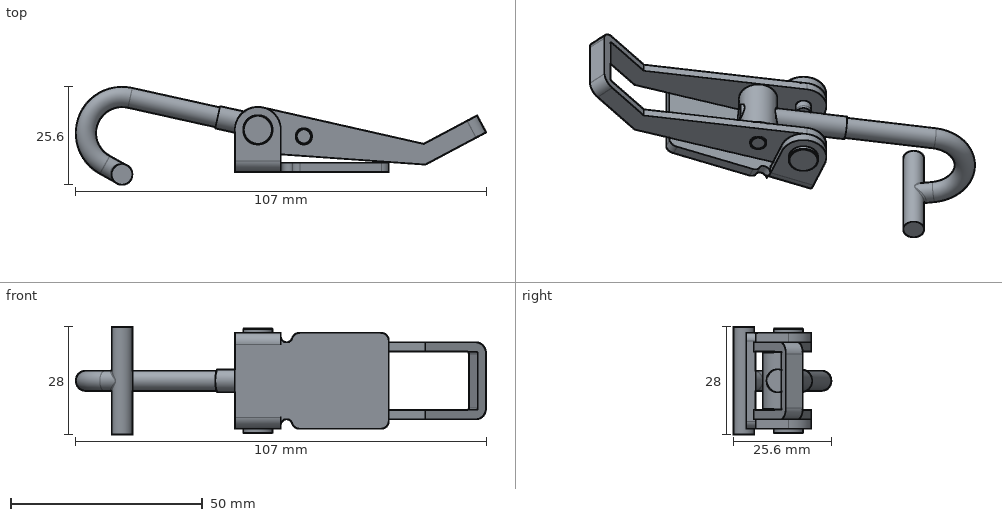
import cadquery as cq
import math


SHEET = 2.5
BEND_OUTER = 3.0
BEND_INNER = BEND_OUTER - SHEET

EAR_RADIUS = 6.0
BRACKET_HALF_WIDTH = 12.5
BASE_OUTER_Y = -11.0
BASE_INNER_Y = BASE_OUTER_Y + SHEET
BASE_END_X = 34.2
BASE_CORNER_RADIUS = 2.0
RELIEF_RADIUS = 1.5

LEVER_HALF_WIDTH = BRACKET_HALF_WIDTH - SHEET
LEVER_INNER = LEVER_HALF_WIDTH - SHEET
ELBOW_TOP = (43.3, -3.6)
ELBOW_BOTTOM = (43.7, -9.1)
HANDLE_ANGLE = 28.0
HANDLE_TIP_X = 59.5

RIVET_HEAD_RADIUS = 3.9
RIVET_HEAD_HEIGHT = 1.2
RIVET_HEAD_CHAMFER = 0.2
RIVET_SHANK_RADIUS = 2.0
RIVET_TAIL_Z = 4.9
RIVET_TAIL_CHAMFER_LENGTH = 0.7
RIVET_TAIL_CHAMFER_DEPTH = 0.2

BARREL_X = 12.0
BARREL_Y = -1.7
BARREL_RADIUS = 5.0
BARREL_END_PLAY = 0.2
JOURNAL_RADIUS = 2.1
JOURNAL_CHAMFER = 0.3
COUNTERSINK_RADIUS = 3.7

HOOK_ANGLE = 12.5
THREAD_RADIUS = 3.0
THREAD_END = 23.0
ROD_RADIUS = 2.7
ROD_END = 46.5
HOOK_BEND_RADIUS = 9.4
HOOK_TAIL_ANGLE = 29.0
T_BAR_LENGTH = 28.0
T_BAR_RADIUS = 5.5 / 2
WELD_FILLET = 0.4


def cylinder_z(radius, z_low, z_high, x=0.0, y=0.0):
    """Cylinder along Z between two heights."""
    return cq.Workplane("XY", origin=(x, y, z_low)).circle(radius).extrude(z_high - z_low)


def direction(angle):
    """Unit vector in the XY plane at an angle in degrees from +X."""
    return cq.Vector(math.cos(math.radians(angle)), math.sin(math.radians(angle)), 0)


def tangent_point(point, side):
    """Point where a line from `point` touches the pivot circle; side is +1 above, -1 below."""
    x, y = point
    angle = math.atan2(y, x) + side * math.acos(EAR_RADIUS / math.hypot(x, y))
    return EAR_RADIUS * math.cos(angle), EAR_RADIUS * math.sin(angle)


def make_ear_channel():
    """The two ears and the bent part of the base between them."""
    channel = (
        cq.Workplane("XY")
        .rect(2 * EAR_RADIUS, 2 * BRACKET_HALF_WIDTH)
        .extrude(EAR_RADIUS - BASE_OUTER_Y)
        .faces("<Z").edges("|X").fillet(BEND_OUTER)
    )
    cavity = (
        cq.Workplane("XY", origin=(0, 0, SHEET))
        .rect(2 * EAR_RADIUS, 2 * LEVER_HALF_WIDTH)
        .extrude(EAR_RADIUS - BASE_INNER_Y)
        .faces("<Z").edges("|X").fillet(BEND_INNER)
    )
    channel = channel.cut(cavity).rotate((0, 0, 0), (1, 0, 0), -90).translate((0, BASE_OUTER_Y, 0))
    ear_outline = (
        cq.Workplane("XY", origin=(0, 0, -BRACKET_HALF_WIDTH))
        .moveTo(-EAR_RADIUS, BASE_OUTER_Y)
        .lineTo(EAR_RADIUS, BASE_OUTER_Y)
        .lineTo(EAR_RADIUS, 0)
        .threePointArc((0, EAR_RADIUS), (-EAR_RADIUS, 0))
        .close()
        .extrude(2 * BRACKET_HALF_WIDTH)
    )
    return channel.intersect(ear_outline)


def make_base_tongue():
    """Flat base beyond the ears, with a bend relief on each side."""
    relief_x = EAR_RADIUS + RELIEF_RADIUS
    relief_z = LEVER_HALF_WIDTH + RELIEF_RADIUS
    corner_z = BRACKET_HALF_WIDTH - BASE_CORNER_RADIUS
    centre_distance = RELIEF_RADIUS + BASE_CORNER_RADIUS
    corner_x = relief_x + math.sqrt(centre_distance**2 - (relief_z - corner_z) ** 2)
    share = RELIEF_RADIUS / centre_distance
    touch_x = relief_x + share * (corner_x - relief_x)
    touch_z = relief_z + share * (corner_z - relief_z)
    touch_angle = math.atan2(touch_z - corner_z, touch_x - corner_x)
    corner_mid = (touch_angle + math.pi / 2) / 2
    corner_mid_x = corner_x + BASE_CORNER_RADIUS * math.cos(corner_mid)
    corner_mid_z = corner_z + BASE_CORNER_RADIUS * math.sin(corner_mid)

    half = (
        cq.Workplane("XZ", origin=(0, BASE_INNER_Y, 0))
        .moveTo(0, 0)
        .lineTo(0, LEVER_INNER)
        .lineTo(EAR_RADIUS, LEVER_INNER)
        .lineTo(EAR_RADIUS, relief_z)
        .threePointArc((relief_x, LEVER_HALF_WIDTH), (touch_x, touch_z))
        .threePointArc((corner_mid_x, corner_mid_z), (corner_x, BRACKET_HALF_WIDTH))
        .lineTo(BASE_END_X, BRACKET_HALF_WIDTH)
        .lineTo(BASE_END_X, 0)
        .close()
        .extrude(SHEET)
        .edges("|Y and >X and >Z").fillet(BASE_CORNER_RADIUS)
    )
    return half.union(half.mirror("XY"))


def make_bracket():
    rivet_holes = cylinder_z(RIVET_SHANK_RADIUS, -BRACKET_HALF_WIDTH, BRACKET_HALF_WIDTH)
    return make_ear_channel().union(make_base_tongue()).cut(rivet_holes)


def make_lever():
    along = direction(HANDLE_ANGLE)
    across = direction(HANDLE_ANGLE + 90)
    elbow_bottom = cq.Vector(*ELBOW_BOTTOM)
    tip_bottom = elbow_bottom + along * ((HANDLE_TIP_X - elbow_bottom.x) / along.x)
    handle_depth = (cq.Vector(*ELBOW_TOP) - elbow_bottom).dot(across)
    tip_top = tip_bottom + across * handle_depth
    blank = (
        cq.Workplane("XY", origin=(0, 0, -LEVER_HALF_WIDTH))
        .moveTo(*tangent_point(ELBOW_TOP, 1))
        .threePointArc((-EAR_RADIUS, 0), tangent_point(ELBOW_BOTTOM, -1))
        .lineTo(*ELBOW_BOTTOM)
        .lineTo(tip_bottom.x, tip_bottom.y)
        .lineTo(tip_top.x, tip_top.y)
        .lineTo(*ELBOW_TOP)
        .close()
        .extrude(2 * LEVER_HALF_WIDTH)
    )
    tip_edges = cq.selectors.ParallelDirSelector(across)
    blank = blank.edges(tip_edges).fillet(BEND_OUTER)

    slot_plane = cq.Plane(origin=(tip_bottom - along * SHEET).toTuple(), xDir=along, normal=across)
    slot_length = 2 * HANDLE_TIP_X
    slot = (
        cq.Workplane(slot_plane)
        .center(-slot_length / 2, 0)
        .rect(slot_length, 2 * LEVER_INNER)
        .extrude(slot_length, both=True)
        .edges(tip_edges).edges(">X").fillet(BEND_INNER)
    )
    rivet_holes = cylinder_z(RIVET_SHANK_RADIUS, -LEVER_HALF_WIDTH, LEVER_HALF_WIDTH)
    journal_holes = cylinder_z(JOURNAL_RADIUS, -LEVER_HALF_WIDTH, LEVER_HALF_WIDTH, BARREL_X, BARREL_Y)
    return blank.cut(slot).cut(rivet_holes).cut(journal_holes)


def make_rivet(side):
    """Rivet through one ear and one side plate; side is +1 for the +Z ear, -1 for the -Z ear."""
    head_top = BRACKET_HALF_WIDTH + RIVET_HEAD_HEIGHT
    head = cylinder_z(RIVET_HEAD_RADIUS, BRACKET_HALF_WIDTH, head_top)
    head = head.faces(">Z").chamfer(RIVET_HEAD_CHAMFER)
    shank = cylinder_z(RIVET_SHANK_RADIUS, RIVET_TAIL_Z, BRACKET_HALF_WIDTH)
    shank = shank.faces("<Z").chamfer(RIVET_TAIL_CHAMFER_LENGTH, RIVET_TAIL_CHAMFER_DEPTH)
    rivet = head.union(shank)
    return rivet if side > 0 else rivet.mirror("XY")


def make_barrel():
    half_length = LEVER_INNER - BARREL_END_PLAY
    body = cylinder_z(BARREL_RADIUS, -half_length, half_length, BARREL_X, BARREL_Y)
    journals = cylinder_z(JOURNAL_RADIUS, -LEVER_HALF_WIDTH, LEVER_HALF_WIDTH, BARREL_X, BARREL_Y)
    journals = journals.faces("<Z or >Z").chamfer(JOURNAL_CHAMFER)
    toward_hook = direction(180 - HOOK_ANGLE)
    centre = cq.Vector(BARREL_X, BARREL_Y, 0)
    bore = cq.Solid.makeCylinder(
        THREAD_RADIUS, 2 * BARREL_RADIUS, centre - toward_hook * BARREL_RADIUS, toward_hook
    )
    countersink_depth = COUNTERSINK_RADIUS - THREAD_RADIUS
    countersink = cq.Solid.makeCone(
        THREAD_RADIUS,
        COUNTERSINK_RADIUS,
        countersink_depth,
        centre + toward_hook * (BARREL_RADIUS - countersink_depth),
        toward_hook,
    )
    return body.union(journals).cut(cq.Workplane(bore)).cut(cq.Workplane(countersink))


def make_hook():
    toward_hook = direction(180 - HOOK_ANGLE)
    start = cq.Vector(BARREL_X, BARREL_Y, 0)
    thread_start = start - toward_hook * BARREL_RADIUS
    thread_end = start + toward_hook * THREAD_END
    bend_start = start + toward_hook * ROD_END
    bend_centre = bend_start - direction(90 - HOOK_ANGLE) * HOOK_BEND_RADIUS
    bend_end_angle = 270 - HOOK_TAIL_ANGLE
    bend_middle_angle = (90 - HOOK_ANGLE + bend_end_angle) / 2
    bend_middle = bend_centre + direction(bend_middle_angle) * HOOK_BEND_RADIUS
    bend_end = bend_centre + direction(bend_end_angle) * HOOK_BEND_RADIUS
    t_bar_drop = HOOK_BEND_RADIUS / math.cos(math.radians(HOOK_TAIL_ANGLE))
    t_bar = bend_centre - cq.Vector(0, t_bar_drop, 0)

    path = (
        cq.Workplane("XY")
        .moveTo(thread_end.x, thread_end.y)
        .lineTo(bend_start.x, bend_start.y)
        .threePointArc(bend_middle.toTuple()[:2], bend_end.toTuple()[:2])
        .lineTo(t_bar.x, t_bar.y)
    )
    rod_plane = cq.Plane(origin=thread_end.toTuple(), xDir=(0, 0, 1), normal=toward_hook)
    rod = cq.Workplane(rod_plane).circle(ROD_RADIUS).sweep(path)
    thread = cq.Workplane(
        cq.Solid.makeCylinder(THREAD_RADIUS, THREAD_END + BARREL_RADIUS, thread_start, toward_hook)
    )
    bar = cylinder_z(T_BAR_RADIUS, -T_BAR_LENGTH / 2, T_BAR_LENGTH / 2, t_bar.x, t_bar.y)
    reach = cq.Vector(2 * T_BAR_RADIUS, 2 * T_BAR_RADIUS, 2 * T_BAR_RADIUS)
    around_seam = cq.selectors.BoxSelector(
        (t_bar - reach).toTuple(), (t_bar + reach).toTuple(), boundingbox=True
    )
    return rod.union(bar).edges(around_seam).fillet(WELD_FILLET).union(thread)


bracket = make_bracket()
lever = make_lever()
barrel = make_barrel()
hook = make_hook()
rivets = [make_rivet(side) for side in (1, -1)]

result = cq.Compound.makeCompound(
    [bracket.val(), lever.val(), barrel.val(), hook.val(), *[rivet.val() for rivet in rivets]]
)